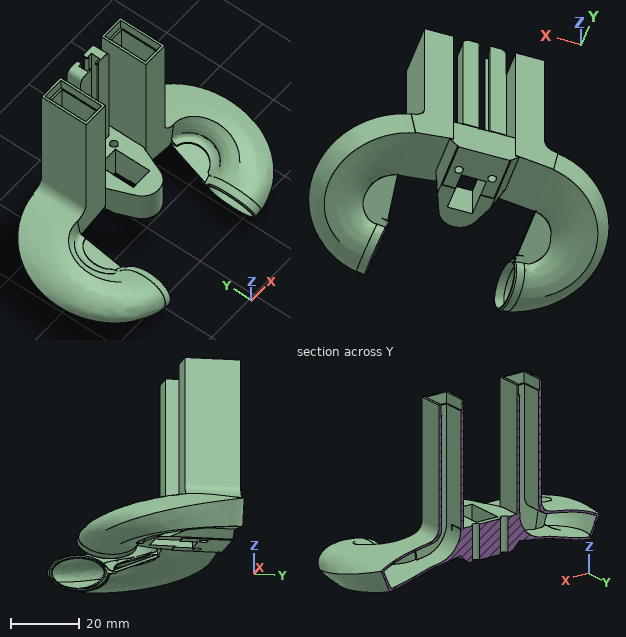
import math

import cadquery as cq


tube_inner_x = 9.6
tube_outer_x = 18.65
tube_depth = 16.75
tube_height = 40.6
socket_wall = 0.8
socket_depth = 3.5
duct_wall_x = 1.15
duct_wall_y = 1.45

foot_heel_z = -8.45
bend_radius = 4.0
floor_bend_radius = 9.0

horn_wall = 0.8
entry_x = 22.05
entry_y = -8.47
entry_z = -6.1
entry_half_width = 8.27
entry_half_height = 4.27
entry_pitch = 9.0
outlet_x = 22.65
outlet_y = -40.45
outlet_z = -16.1
outlet_half_width = 9.0
outlet_half_height = 5.3
outlet_pitch = 17.0
horn_reach = 14.93
shape_delay = 1.25
horn_swell = 0.08
horn_crown = 0.7
horn_roll = 10.0
collar_length = 3.0
collar_chamfer = 0.4
section_count = 7
edge_points = 5

inner_top_angle = 95.0
outer_top_angle = -37.0
outer_bottom_angle = -90.0
inner_bottom_angle = -180.0

web_thickness = 0.8
web_overlap = 0.5
web_fillet = 2.2
fillet_base_rise = 0.14
fillet_crest_rise = 0.33

plate_thickness = 11.1
plate_back_y = -0.2
plate_nose_radius = 6.2
plate_nose_y = -22.9
plate_taper = 22.1
plate_half_width = 10.9
plate_bottom_half_width = 8.3
plate_chamfer_height = plate_half_width - plate_bottom_half_width
pad_thickness = 0.3
pad_half_width = 8.0
pad_depth = 15.0
window_half_width = 3.85
window_back_y = -9.9
window_front_y = -22.7
screw_diameter = 2.5
screw_x = 5.15
screw_y = -8.3

clip_inner_x = 1.7
clip_outer_x = 6.7
clip_depth = 5.25
clip_round = 2.0
groove_bottom_x = 2.95
groove_back_y = -1.65
groove_front_y = -4.7
lip_reach = 0.8
lip_thickness = 0.6


def box(x_min, x_max, y_min, y_max, z_min, z_max):
    size = (x_max - x_min, y_max - y_min, z_max - z_min)
    return cq.Workplane("XY").box(*size, centered=False).translate((x_min, y_min, z_min))


def direction(angle):
    return cq.Vector(math.cos(math.radians(angle)), math.sin(math.radians(angle)))


def blend(start, end, share):
    return start + (end - start) * share


def section_shares():
    return [step / (section_count - 1) for step in range(section_count)]


def horn_frame(share):
    """Centre, heading, outward and upward directions of the left horn, share 0 (entry) to 1."""
    turn = math.pi * share
    centre = cq.Vector(
        -blend(entry_x, outlet_x, share) - horn_reach * math.sin(turn),
        blend(outlet_y, entry_y, (1 + math.cos(turn)) / 2),
        blend(entry_z, outlet_z, share),
    )
    level = cq.Vector(-math.cos(turn), -math.sin(turn), 0)
    side = cq.Vector(-math.sin(turn), math.cos(turn), 0)
    vertical = cq.Vector(0, 0, 1)
    pitch = math.radians(blend(entry_pitch, outlet_pitch, share))
    heading = level * math.cos(pitch) - vertical * math.sin(pitch)
    lifted = vertical * math.cos(pitch) + level * math.sin(pitch)
    roll = math.radians(horn_roll) * math.sin(turn)
    outward = side * math.cos(roll) - lifted * math.sin(roll)
    upward = lifted * math.cos(roll) + side * math.sin(roll)
    return centre, heading, outward, upward


def horn_corners():
    """Signs of the rectangle corners with their oval angles, clockwise and closed."""
    return [
        (-1, 1, inner_top_angle),
        (1, 1, outer_top_angle),
        (1, -1, outer_bottom_angle),
        (-1, -1, inner_bottom_angle),
        (-1, 1, inner_top_angle - 360),
    ]


def section_point(share, inset, across, up, angle):
    """Point of a horn section, blended between a rectangle point and an oval point."""
    centre, _, outward, upward = horn_frame(share)
    oval = direction(angle)
    morph = share**shape_delay
    fullness = math.sin(math.pi * share)
    swell = 1 + horn_swell * fullness
    crown = horn_crown * fullness * up * (1 - across**2)
    out_distance = blend(
        across * (entry_half_width - inset), oval.x * (outlet_half_width - inset), morph
    )
    up_distance = blend(up * (entry_half_height - inset), oval.y * (outlet_half_height - inset), morph)
    return centre + outward * out_distance + upward * (up_distance * swell + crown)


def horn_section(share, inset):
    """Closed outline of four curved edges, one for each side of the duct."""
    corners = horn_corners()
    edges = []
    for start, end in zip(corners, corners[1:]):
        points = []
        for step in range(edge_points):
            part = step / (edge_points - 1)
            across, up, angle = (blend(a, b, part) for a, b in zip(start, end))
            points.append(section_point(share, inset, across, up, angle))
        edges.append(cq.Edge.makeSpline(points))
    return cq.Wire.assembleEdges(edges)


def horn_bend(inset):
    """Curved stretch of the left horn, shrunk all round by the inset."""
    sections = [horn_section(share, inset) for share in section_shares()]
    return cq.Workplane(cq.Solid.makeLoft(sections))


def horn_collar(inset):
    """Straight oval collar at the outlet of the left horn, shrunk all round by the inset."""
    centre, heading, outward, _ = horn_frame(1)
    plane = cq.Plane(origin=centre, xDir=outward, normal=heading)
    oval = cq.Workplane(plane).ellipse(outlet_half_width - inset, outlet_half_height - inset)
    return oval.extrude(collar_length)


def horn_outside():
    _, heading, _, _ = horn_frame(1)
    end_face = cq.selectors.DirectionMinMaxSelector(heading)
    collar = horn_collar(0).faces(end_face).edges().chamfer(collar_chamfer)
    return horn_bend(0).union(collar)


def horn_inside():
    return horn_bend(horn_wall).union(horn_collar(horn_wall))


def inner_wall_point(share, rise):
    """Point on the inner wall of the left horn, rise 0 at its bottom corner to 1 at its top."""
    angle = blend(inner_bottom_angle, inner_top_angle - 360, rise)
    return section_point(share, 0, -1, blend(-1, 1, rise), angle)


def horn_web():
    """Flat web spanning the inner bottom edge of the left horn, from its entry to its outlet."""
    rim = []
    for share in section_shares():
        _, heading, outward, _ = horn_frame(share)
        rim.append(inner_wall_point(share, 0) + outward * web_overlap)
    rim.append(rim[-1] + heading * collar_length)
    start, middle, end = rim[0], rim[section_count // 2], rim[-1]
    normal = (middle - start).cross(end - start).normalized()
    plane = cq.Plane(origin=start, xDir=end - start, normal=normal)
    flat = [plane.toLocalCoords(point) for point in rim]
    outline = [(point.x, point.y) for point in flat]
    web = cq.Workplane(plane).moveTo(*outline[0]).spline(outline[1:-1], includeCurrent=True)
    return web.lineTo(*outline[-1]).close().extrude(web_thickness)


def fillet_section(share):
    """Concave outline in the angle between the horn's inner wall and the web."""
    _, _, outward, upward = horn_frame(share)
    heel = inner_wall_point(share, 0)
    base = inner_wall_point(share, fillet_base_rise)
    crest = inner_wall_point(share, fillet_crest_rise)
    wall_direction = (crest - base).normalized()
    toe = base - outward * web_fillet
    buried_toe = toe - upward * (web_thickness / 2)
    buried_heel = heel + outward * web_overlap + upward * (web_thickness / 2)
    buried_crest = crest + outward * web_overlap
    edges = [
        cq.Edge.makeSpline([toe, crest], tangents=[outward, wall_direction]),
        cq.Edge.makeLine(crest, buried_crest),
        cq.Edge.makeLine(buried_crest, buried_heel),
        cq.Edge.makeLine(buried_heel, buried_toe),
        cq.Edge.makeLine(buried_toe, toe),
    ]
    return cq.Wire.assembleEdges(edges)


def web_fillet_strip():
    sections = [fillet_section(share) for share in section_shares()]
    curved = cq.Solid.makeLoft(sections)
    _, heading, _, _ = horn_frame(1)
    straight = cq.Solid.extrudeLinear(sections[-1], [], heading * collar_length)
    return cq.Workplane(curved).union(cq.Workplane(straight))


def entry_edge(inset):
    """Top and bottom of the horn entry as X-Z points."""
    centre, _, _, upward = horn_frame(0)
    top = centre + upward * (entry_half_height - inset)
    bottom = centre - upward * (entry_half_height - inset)
    return (top.x, top.z), (bottom.x, bottom.z)


def bend_corner_z(x, point):
    """Height where the pitched line through a point meets the vertical line at x."""
    return point[1] + (x - point[0]) * math.tan(math.radians(entry_pitch))


def prism(outline, y_back, y_front):
    """X-Z outline extruded between two Y positions."""
    solid = cq.Workplane("XZ").polyline(outline).close().extrude(y_back - y_front)
    return solid.translate((0, y_back, 0))


def tube_body():
    top, bottom = entry_edge(0)
    corner_z = bend_corner_z(-tube_outer_x, top)
    outline = [
        (-tube_outer_x, tube_height),
        (-tube_inner_x, tube_height),
        (-tube_inner_x, foot_heel_z),
        bottom,
        top,
        (-tube_outer_x, corner_z),
    ]
    body = prism(outline, 0, -tube_depth)
    bend = cq.selectors.NearestToPointSelector((-tube_outer_x, -tube_depth / 2, corner_z))
    return body.edges(bend).fillet(bend_radius)


def tube_passage():
    """Air passage down the tube and out into the horn, with a wider socket at the top."""
    top, bottom = entry_edge(horn_wall)
    outer_x = -tube_outer_x + duct_wall_x
    inner_x = -tube_inner_x - duct_wall_x
    corner_z = bend_corner_z(outer_x, top)
    floor_z = bend_corner_z(inner_x, bottom)
    outline = [
        (outer_x, tube_height),
        (inner_x, tube_height),
        (inner_x, floor_z),
        bottom,
        top,
        (outer_x, corner_z),
    ]
    passage = prism(outline, -duct_wall_y, -tube_depth + duct_wall_y)
    for x, z, radius in ((outer_x, corner_z, bend_radius), (inner_x, floor_z, floor_bend_radius)):
        bend = cq.selectors.NearestToPointSelector((x, -tube_depth / 2, z))
        passage = passage.edges(bend).fillet(radius)
    socket = box(
        -tube_outer_x + socket_wall,
        -tube_inner_x - socket_wall,
        -tube_depth + socket_wall,
        -socket_wall,
        tube_height - socket_depth,
        tube_height,
    )
    return passage.union(socket)


def left_duct():
    web = horn_web().union(web_fillet_strip())
    shell = tube_body().union(horn_outside()).union(web)
    return shell.cut(tube_passage()).cut(horn_inside())


def plate():
    """Tapered plate with a round nose, its lower side edges chamfered."""
    tangent = direction(plate_taper) * plate_nose_radius
    shoulder_y = plate_nose_y - tangent.y + (plate_half_width - tangent.x) / math.tan(
        math.radians(plate_taper)
    )
    nose_y = plate_nose_y - tangent.y
    outline = (
        cq.Workplane("XY")
        .moveTo(-plate_half_width, plate_back_y)
        .lineTo(-plate_half_width, shoulder_y)
        .lineTo(-tangent.x, nose_y)
        .threePointArc((0, plate_nose_y - plate_nose_radius), (tangent.x, nose_y))
        .lineTo(plate_half_width, shoulder_y)
        .lineTo(plate_half_width, plate_back_y)
        .close()
    )
    body = outline.extrude(-plate_thickness)
    chamfered = prism(
        [
            (-plate_half_width, 0),
            (plate_half_width, 0),
            (plate_half_width, plate_chamfer_height - plate_thickness),
            (plate_bottom_half_width, -plate_thickness),
            (-plate_bottom_half_width, -plate_thickness),
            (-plate_half_width, plate_chamfer_height - plate_thickness),
        ],
        0,
        plate_nose_y - plate_nose_radius,
    )
    pad = box(
        -pad_half_width,
        pad_half_width,
        plate_back_y - pad_depth,
        plate_back_y,
        -plate_thickness - pad_thickness,
        -plate_thickness,
    )
    return body.intersect(chamfered).union(pad)


def plate_openings():
    bottom = -plate_thickness - pad_thickness
    window = box(-window_half_width, window_half_width, window_front_y, window_back_y, bottom, 0)
    screws = (
        cq.Workplane("XY")
        .pushPoints([(-screw_x, screw_y), (screw_x, screw_y)])
        .circle(screw_diameter / 2)
        .extrude(bottom)
    )
    return window.union(screws)


def clip():
    """Right-hand clip: an upright with a rounded outer top and a groove facing the middle."""
    upright = box(clip_inner_x, clip_outer_x, -clip_depth, 0, 0, tube_height)
    return upright.edges(">X and >Z").fillet(clip_round)


def clip_groove():
    return box(0, groove_bottom_x, groove_front_y, groove_back_y, 0, tube_height)


def clip_lip():
    """Thin lip over the mouth of the right-hand clip."""
    return box(
        clip_inner_x - lip_reach, clip_inner_x, -clip_depth, 0, tube_height - lip_thickness, tube_height
    )


def clips():
    left = clip().cut(clip_groove()).mirror("YZ")
    right = clip().union(clip_lip()).cut(clip_groove())
    return left.union(right)


duct = left_duct()
result = plate().union(clips()).cut(plate_openings())
result = result.union(duct).union(duct.mirror("YZ")).solids()